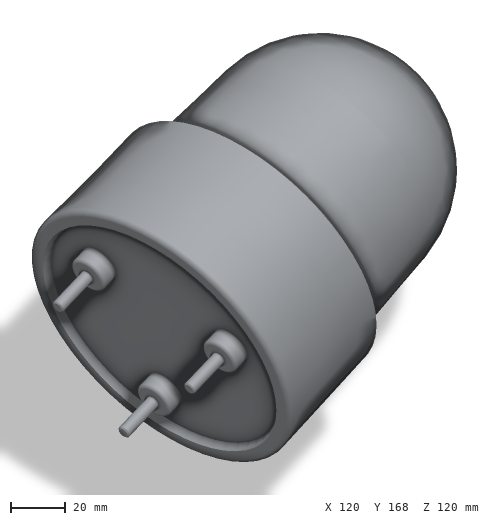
import cadquery as cq
import math

base_radius = 60.0
band_top = 3.2
rim_fillet = 2.0
base_draft = math.radians(1)
shoulder_start = 53.1

lens_start = 57.3
lens_base_radius = 52.0
lens_draft = math.radians(3)
dome_apex = 146.2
neck_fillet = 1.5

recess_depth = 3.0
recess_rim_radius = 53.8
recess_floor_radius = 52.2

mount_count = 3
mount_circle_radius = 35.0
boss_radius = 7.5
boss_projection = 4.0
boss_tip_fillet = 1.3
boss_foot_fillet = 0.5
stud_radius = 2.5
stud_projection = 21.8
stud_chamfer = 0.5

dome_radius = (
    lens_base_radius * math.cos(lens_draft) - (dome_apex - lens_start) * math.sin(lens_draft)
) / (1 - math.sin(lens_draft))
dome_center = dome_apex - dome_radius
seam_radius = dome_radius * math.cos(lens_draft)
seam_height = dome_center + dome_radius * math.sin(lens_draft)
dome_mid_radius = dome_radius * math.cos(math.pi / 4)
dome_mid_height = dome_center + dome_radius * math.sin(math.pi / 4)
shoulder_radius = base_radius - (shoulder_start - band_top) * math.tan(base_draft)


def revolve_about_y(profile):
    return profile.close().revolve(360, (0, 0, 0), (0, 1, 0))


def make_housing():
    """Base, sloped shoulder and domed lens as one turned body."""
    profile = (
        cq.Workplane("XY")
        .lineTo(base_radius, 0)
        .lineTo(base_radius, band_top)
        .lineTo(shoulder_radius, shoulder_start)
        .lineTo(lens_base_radius, lens_start)
        .lineTo(seam_radius, seam_height)
        .threePointArc((dome_mid_radius, dome_mid_height), (0, dome_apex))
    )
    body = revolve_about_y(profile)
    body = body.faces("<Y").edges().fillet(rim_fillet)
    neck = cq.selectors.BoxSelector(
        (-base_radius, lens_start - neck_fillet, -base_radius),
        (base_radius, lens_start + neck_fillet, base_radius),
    )
    return body.edges("%CIRCLE").edges(neck).fillet(neck_fillet)


def make_recess():
    """Shallow recess whose wall narrows towards its floor."""
    profile = (
        cq.Workplane("XY")
        .lineTo(recess_rim_radius, 0)
        .lineTo(recess_floor_radius, recess_depth)
        .lineTo(0, recess_depth)
    )
    return revolve_about_y(profile)


def rod(radius, projection):
    """Rod along -Y from the recess floor to a given projection past the rim."""
    return (
        cq.Workplane("XZ", origin=(0, recess_depth, 0))
        .circle(radius)
        .extrude(recess_depth + projection)
    )


def make_mount():
    """Rounded boss carrying a chamfered stud, centred on the Y axis."""
    boss = rod(boss_radius, boss_projection).faces("<Y").edges().fillet(boss_tip_fillet)
    stud = rod(stud_radius, stud_projection).faces("<Y").edges().chamfer(stud_chamfer)
    foot_profile = (
        cq.Workplane("XY", origin=(0, recess_depth, 0))
        .lineTo(boss_radius + boss_foot_fillet, 0)
        .radiusArc((boss_radius, -boss_foot_fillet), -boss_foot_fillet)
        .lineTo(0, -boss_foot_fillet)
    )
    return boss.union(stud).union(revolve_about_y(foot_profile))


result = make_housing().cut(make_recess())
mount = make_mount().translate((0, 0, -mount_circle_radius))
for index in range(mount_count):
    angle = 360 * index / mount_count
    result = result.union(mount.rotate((0, 0, 0), (0, 1, 0), angle))